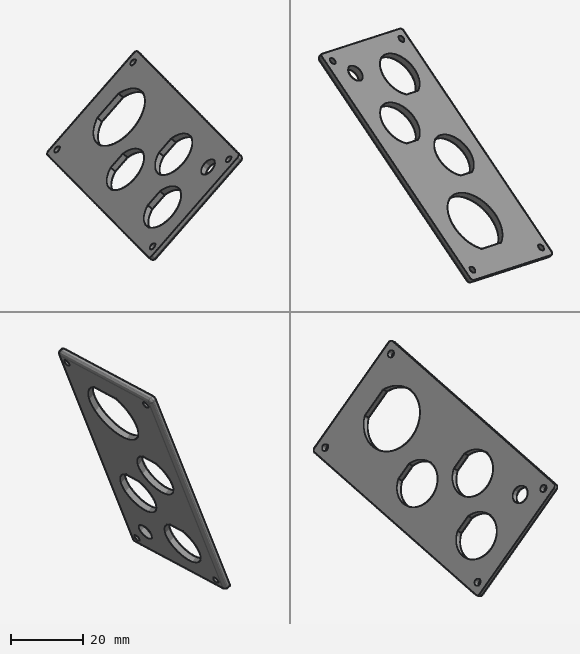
import cadquery as cq

length = 77.1
width = 38.0
thickness = 2.0
corner_radius = 1.0
back_edge_radius = 1.0
tilt = 45.0

screw_diameter = 2.0
screw_inset = 3.0

large_diameter = 18.9
large_flat_offset = 8.3
large_centre = (-22.2, 2.55)

small_diameter = 13.65
small_flat_offset = 6.3
lower_row = -6.4
upper_row = 6.1
small_centres = [(-1.8, lower_row), (12.1, upper_row), (25.8, lower_row)]

round_diameter = 5.0
round_centre = (30.05, 10.4)


def make_plate():
    """Flat plate centred on the origin, with rounded corners and a rounded back rim."""
    plate = cq.Workplane("XY").box(length, width, thickness)
    plate = plate.edges("|Z").fillet(corner_radius)
    return plate.faces("<Z").edges().fillet(back_edge_radius)


def back_plane():
    """Workplane on the back face of the plate."""
    return cq.Workplane("XY", origin=(0, 0, -thickness / 2))


def round_cutter(centres, diameter):
    """Cylinders through the plate."""
    return back_plane().pushPoints(centres).circle(diameter / 2).extrude(thickness)


def flatted_cutter(centre, diameter, flat_offset):
    """Cylinder through the plate, with a flat on its -X side."""
    x, y = centre
    kept_width = flat_offset + diameter / 2
    kept = (
        back_plane()
        .center(x - flat_offset + kept_width / 2, y)
        .rect(kept_width, diameter)
        .extrude(thickness)
    )
    return round_cutter([centre], diameter).intersect(kept)


screw_x = length / 2 - screw_inset
screw_y = width / 2 - screw_inset
screw_centres = [(i * screw_x, j * screw_y) for i in (-1, 1) for j in (-1, 1)]

plate = make_plate()
plate = plate.cut(round_cutter(screw_centres, screw_diameter))
plate = plate.cut(round_cutter([round_centre], round_diameter))
plate = plate.cut(flatted_cutter(large_centre, large_diameter, large_flat_offset))
for small_centre in small_centres:
    plate = plate.cut(flatted_cutter(small_centre, small_diameter, small_flat_offset))

result = plate.rotate((0, 0, 0), (1, 0, 0), tilt)